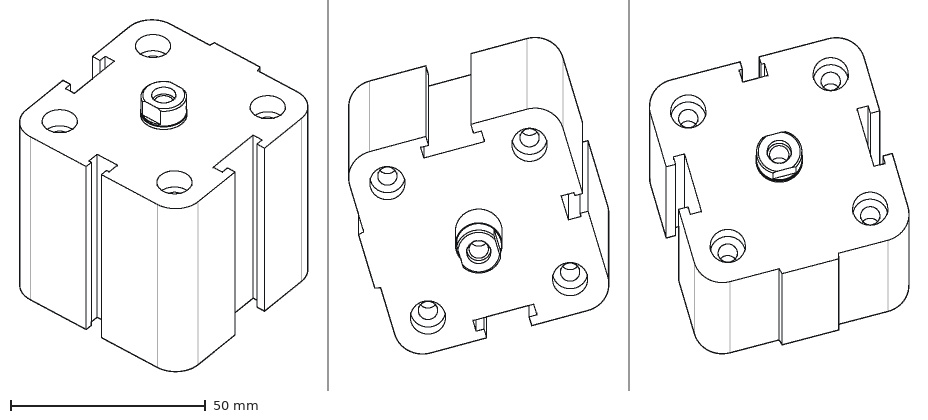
import cadquery as cq

side = 57.0
housing_height = 55.5
corner_radius = 7.45

rib_height = 1.5
rib_base_width = 15.85
rib_top_width = 15.15

side_slot_mouth = 12.0
side_slot_width = 16.25
side_slot_lip = 2.5
side_slot_depth = 5.5
front_slot_mouth = 5.0
front_slot_width = 6.75
front_slot_lip = 2.1
front_slot_depth = 5.5

hole_pitch = 38.0
counterbore_diameter = 9.0
counterbore_depth = 5.5
hole_diameter = 4.95
hole_depth = 14.5

rod_diameter = 12.0
rod_length = 78.5
rod_top_projection = 6.5
rod_bottom_projection = rod_length - housing_height - rod_top_projection
wrench_end_diameter = 11.7
wrench_end_length = 5.5
rod_end_chamfer = 0.5
shoulder_chamfer = (rod_diameter - wrench_end_diameter) / 2
flat_across = 10.0
flat_length = 5.0

bore_diameter = 4.95
bore_mouth_diameter = 6.2
bore_mouth_depth = 2.35
bore_depth = 11.8

half_side = side / 2
half_height = housing_height / 2
rod_middle = (rod_top_projection - rod_bottom_projection) / 2


def t_slot(mouth, width, lip, depth):
    """Full-height T-slot cutter that opens at the -Y face."""
    neck = cq.Workplane("XY").box(mouth, depth, housing_height, centered=(True, False, True))
    head = (
        cq.Workplane("XY")
        .box(width, depth - lip, housing_height, centered=(True, False, True))
        .translate((0, lip, 0))
    )
    return neck.union(head).translate((0, -half_side, 0))


def make_rib():
    outline = [
        (-rib_base_width / 2, half_side),
        (-rib_top_width / 2, half_side + rib_height),
        (rib_top_width / 2, half_side + rib_height),
        (rib_base_width / 2, half_side),
    ]
    return cq.Workplane("XY").polyline(outline).close().extrude(half_height, both=True)


def make_housing():
    housing = cq.Workplane("XY").box(side, side, housing_height).edges("|Z").fillet(corner_radius)
    housing = housing.union(make_rib())
    housing = housing.cut(t_slot(front_slot_mouth, front_slot_width, front_slot_lip, front_slot_depth))
    side_slot = t_slot(side_slot_mouth, side_slot_width, side_slot_lip, side_slot_depth)
    for angle in (-90, 90):
        housing = housing.cut(side_slot.rotate((0, 0, 0), (0, 0, 1), angle))
    for end_face in (">Z", "<Z"):
        housing = (
            housing.faces(end_face)
            .workplane(origin=(0, 0, 0))
            .rect(hole_pitch, hole_pitch, forConstruction=True)
            .vertices()
            .cboreHole(hole_diameter, counterbore_diameter, counterbore_depth, hole_depth)
        )
    rod_hole = cq.Workplane("XY").circle(rod_diameter / 2).extrude(half_height, both=True)
    return housing.cut(rod_hole)


def rod_end_cutter():
    """Wrench flats and stepped bore of the upper rod end, with that end face at Z = 0."""
    bore = cq.Workplane("XY").circle(bore_diameter / 2).extrude(-bore_depth)
    bore_mouth = cq.Workplane("XY").circle(bore_mouth_diameter / 2).extrude(-bore_mouth_depth)
    cutter = bore.union(bore_mouth)
    flat_thickness = rod_diameter - flat_across
    for direction in (-1, 1):
        flat = (
            cq.Workplane("XY")
            .box(rod_diameter, flat_thickness, flat_length)
            .translate((0, direction * (flat_across + flat_thickness) / 2, -flat_length / 2))
        )
        cutter = cutter.union(flat)
    return cutter


def make_rod():
    """Rod with its two like ends, moved so that its upper end projects by the right amount."""
    shank = (
        cq.Workplane("XY")
        .circle(rod_diameter / 2)
        .extrude(rod_length / 2 - wrench_end_length, both=True)
        .faces("|Z")
        .chamfer(shoulder_chamfer)
    )
    core = (
        cq.Workplane("XY")
        .circle(wrench_end_diameter / 2)
        .extrude(rod_length / 2, both=True)
        .faces("|Z")
        .chamfer(rod_end_chamfer)
    )
    upper_cutter = rod_end_cutter().translate((0, 0, rod_length / 2))
    rod = shank.union(core).cut(upper_cutter).cut(upper_cutter.mirror("XY"))
    return rod.translate((0, 0, rod_middle))


housing = make_housing()
rod = make_rod()

result = cq.Compound.makeCompound([housing.val(), rod.val()])